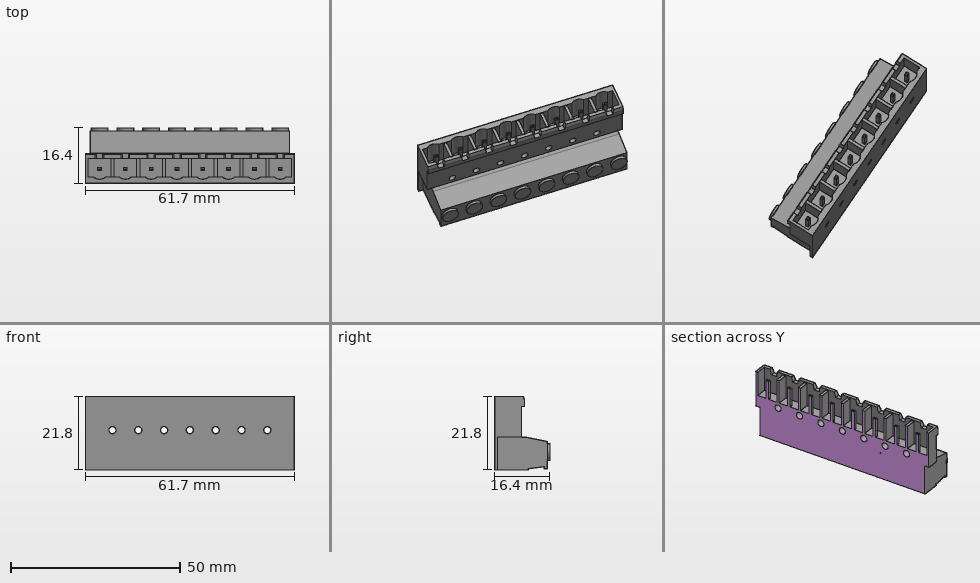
import cadquery as cq

LENGTH = 61.7
HEIGHT = 21.8
POLES = 8
PITCH = 7.62

SHROUD_BACK = 7.95
HOOK_BACK = 8.9
HOOK_TOP_BACK = 8.5
HOOK_BOTTOM = 18.75
HOOK_BEVEL_BOTTOM = 20.6

PLATE_THICKNESS = 0.9
BODY_INSET = 1.4
BODY_TOP = 9.75
BODY_BACK = 15.55
BODY_BACK_TOP = 8.45
TOP_SLOPE_START = 9.2
BOTTOM_STEP_BACK = 10.0
BOTTOM_STEP_HEIGHT = 0.4
LIP_FRONT = 14.6
LIP_RECESS_HEIGHT = 0.9

POCKET_DEPTH = 8.0
POCKET_FRONT = 2.0
POCKET_BACK = 7.4
DIVIDER = 0.9
DIVIDER_DROP = 0.3
BULGE_WIDTH = 3.7
BULGE_DEPTH = 0.75

NOTCH_DEPTH = 1.7
NOTCH_FLOOR_WIDTH = 1.7
NOTCH_TOP_WIDTH = 2.6

PIN_WIDTH = 1.1
PIN_THICKNESS = 0.9
PIN_Y = 4.3
PIN_TIP_DROP = 1.7
PIN_CHAMFER = 0.25

BUTTON_DIAMETER = 5.0
BUTTON_LENGTH = 0.85
BUTTON_Z = 5.3
HOLE_DIAMETER = 2.05
HOLE_Z = 11.8

POLE_X = [(i - (POLES - 1) / 2) * PITCH for i in range(POLES)]
POCKET_FLOOR = HEIGHT - POCKET_DEPTH


def extrude_side_outline(points, width):
    """Extrude a (Y, Z) outline symmetrically about X = 0."""
    return cq.Workplane("YZ").polyline(points).close().extrude(width / 2, both=True)


def make_shroud():
    """Full-length front plate with the hooked shroud above the body."""
    return extrude_side_outline(
        [
            (0, 0),
            (PLATE_THICKNESS, 0),
            (PLATE_THICKNESS, BODY_TOP),
            (SHROUD_BACK, BODY_TOP),
            (SHROUD_BACK, HOOK_BOTTOM),
            (HOOK_BACK, HOOK_BOTTOM),
            (HOOK_BACK, HOOK_BEVEL_BOTTOM),
            (HOOK_TOP_BACK, HEIGHT),
            (0, HEIGHT),
        ],
        LENGTH,
    )


def make_body():
    """Terminal body with a sloped top and a lip along its lower back edge."""
    return extrude_side_outline(
        [
            (0, 0),
            (BOTTOM_STEP_BACK, 0),
            (BOTTOM_STEP_BACK, BOTTOM_STEP_HEIGHT),
            (LIP_FRONT, LIP_RECESS_HEIGHT),
            (LIP_FRONT, BOTTOM_STEP_HEIGHT),
            (BODY_BACK, BOTTOM_STEP_HEIGHT),
            (BODY_BACK, BODY_BACK_TOP),
            (TOP_SLOPE_START, BODY_TOP),
            (0, BODY_TOP),
        ],
        LENGTH - 2 * BODY_INSET,
    )


def make_pocket(x):
    """Open-topped pocket whose front wall is hollowed by a shallow arc."""
    half_width = (PITCH - DIVIDER) / 2
    return (
        cq.Workplane("XY", origin=(x, 0, POCKET_FLOOR))
        .moveTo(-half_width, POCKET_BACK)
        .lineTo(-half_width, POCKET_FRONT)
        .lineTo(-BULGE_WIDTH / 2, POCKET_FRONT)
        .threePointArc((0, POCKET_FRONT - BULGE_DEPTH), (BULGE_WIDTH / 2, POCKET_FRONT))
        .lineTo(half_width, POCKET_FRONT)
        .lineTo(half_width, POCKET_BACK)
        .close()
        .extrude(POCKET_DEPTH)
    )


def make_divider_relief(x):
    """Space that lowers a divider below the rim of the shroud."""
    return cq.Workplane("XY", origin=(x, POCKET_FRONT, HEIGHT - DIVIDER_DROP)).box(
        DIVIDER,
        POCKET_BACK - POCKET_FRONT,
        DIVIDER_DROP,
        centered=(True, False, False),
    )


def make_notch(x):
    """Flared notch from the pocket out through the hook."""
    return (
        cq.Workplane("XZ", origin=(x, HOOK_BACK, HEIGHT))
        .polyline(
            [
                (-NOTCH_FLOOR_WIDTH / 2, -NOTCH_DEPTH),
                (NOTCH_FLOOR_WIDTH / 2, -NOTCH_DEPTH),
                (NOTCH_TOP_WIDTH / 2, 0),
                (-NOTCH_TOP_WIDTH / 2, 0),
            ]
        )
        .close()
        .extrude(HOOK_BACK - POCKET_BACK)
    )


def make_pin(x):
    """Rectangular contact pin with a tip bevelled at front and back."""
    return (
        cq.Workplane("XY", origin=(x, PIN_Y, POCKET_FLOOR))
        .rect(PIN_WIDTH, PIN_THICKNESS)
        .extrude(POCKET_DEPTH - PIN_TIP_DROP)
        .faces(">Z")
        .edges("|X")
        .chamfer(PIN_CHAMFER)
    )


def make_button(x):
    """Round button standing out of the back of the body."""
    return (
        cq.Workplane("XZ", origin=(x, BODY_BACK, BUTTON_Z))
        .circle(BUTTON_DIAMETER / 2)
        .extrude(-BUTTON_LENGTH)
    )


def make_hole(x):
    """Hole from front to back through the shroud, below the pockets."""
    return (
        cq.Workplane("XZ", origin=(x, 0, HOLE_Z))
        .circle(HOLE_DIAMETER / 2)
        .extrude(-SHROUD_BACK)
    )


result = make_shroud().union(make_body())

for pole_x in POLE_X:
    result = result.cut(make_pocket(pole_x))
    result = result.cut(make_notch(pole_x))
    result = result.union(make_pin(pole_x))
    result = result.union(make_button(pole_x))

for left_pole_x in POLE_X[:-1]:
    divider_x = left_pole_x + PITCH / 2
    result = result.cut(make_divider_relief(divider_x))
    result = result.cut(make_hole(divider_x))